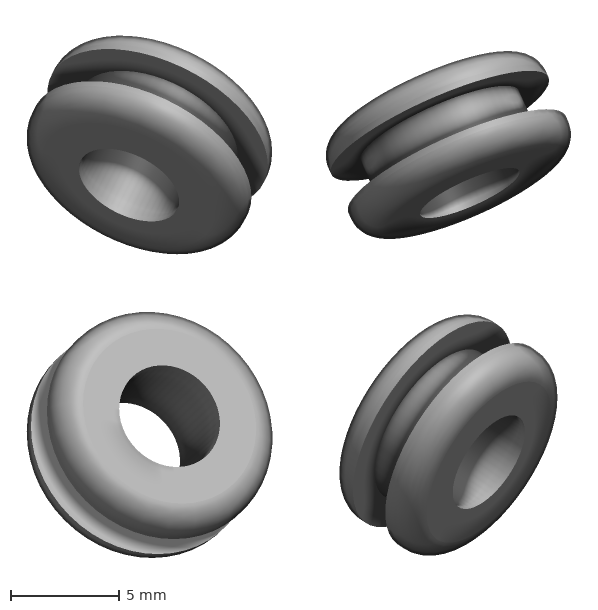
import cadquery as cq

flange_diameter = 11.0
hub_diameter = 8.0
bore_diameter = 5.0
total_width = 5.0
groove_width = 2.0
rim_radius = 1.2


def cylinder_along_y(diameter, width):
    """Cylinder centred on the origin with its axis along Y."""
    return cq.Workplane("XZ", origin=(0, width / 2, 0)).circle(diameter / 2).extrude(width)


body = cylinder_along_y(flange_diameter, total_width).faces("<Y or >Y").edges().fillet(rim_radius)

groove = cylinder_along_y(flange_diameter, groove_width).cut(cylinder_along_y(hub_diameter, groove_width))

bore = cylinder_along_y(bore_diameter, total_width)

result = body.cut(groove).cut(bore)